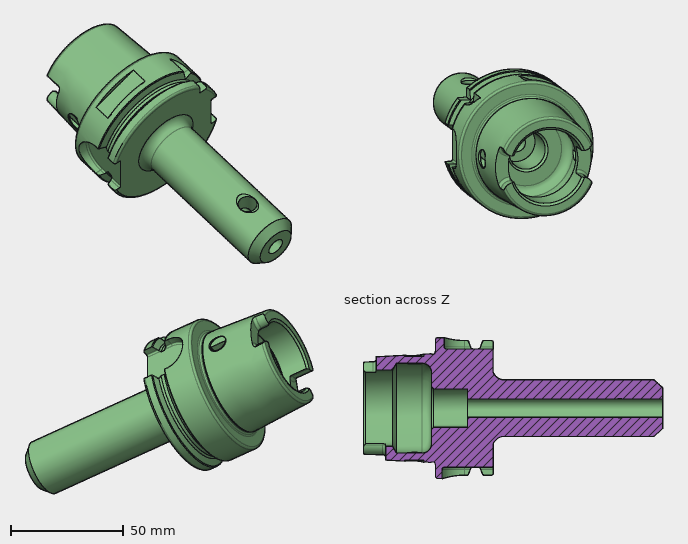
import cadquery as cq
import math

TOTAL_LENGTH = 133.6
FLANGE_RADIUS = 31.5
SHANK_RADIUS = 12.7
CUT_CLEARANCE = 1.3

TAPER_END_RADIUS = 22.7
TAPER_BASE_RADIUS = 24.3
TAPER_LENGTH = 30.0
TAPER_EDGE_FILLET = 1.1
NECK_RADIUS = 48.2 / 2
NECK_START = 30.6
NECK_FILLET = 0.7
FACE_RELIEF_DEPTH = 0.3
FACE_RELIEF_RADIUS = 25.7

FLANGE_START = 32.0
FLANGE_END = 58.0
FLANGE_EDGE_FILLET = 1.1
GROOVE_CENTER = 50.0
GROOVE_HALF_WIDTH = 3.5
GROOVE_EDGE_CHAMFER = 0.4
GROOVE_FLANK_HALF_WIDTH = 1.9
GROOVE_FLANK_RADIUS = 28.0
GROOVE_FLOOR_HALF_WIDTH = 0.8
GROOVE_FLOOR_RADIUS = 27.5

SHANK_BLEND_RADIUS = 5.2
SHANK_BLEND_END = 62.8
SHANK_CHAMFER_LENGTH = 4.0
SHANK_TIP_RADIUS = 9.1
CROSS_HOLE_X = 114.2
CROSS_HOLE_RADIUS = 8.4 / 2
CROSS_SINK_RADIUS = 5.7
CROSS_SINK_DEPTH = 0.8

BORE_RADIUS = 17.0
BORE_MOUTH_RADIUS = 18.0
BORE_MOUTH_DEPTH = 1.0
BORE_DEPTH = 30.3
RECESS_START = 13.0
RECESS_RAMP = 1.7
RECESS_RADIUS = 40.0 / 2
BORE_FLOOR_FILLET = 4.1
POCKET_RADIUS = 17.0 / 2
POCKET_MOUTH_RADIUS = 9.5
POCKET_DEPTH = 16.0
COOLANT_RADIUS = 4.0

KEYWAY_HALF_WIDTH = 6.1
KEYWAY_DEPTH_FRONT = 9.9
KEYWAY_DEPTH_BACK = 5.6
KEYWAY_FLARE_START = 16.4
KEYWAY_FLARE_RADIUS = 4.4
KEYWAY_FLARE_TURN = 80.0
KEYWAY_FLOOR_FILLET = 1.3

ACCESS_HOLE_X = 22.7
ACCESS_HOLE_RADIUS = 3.7
ACCESS_SINK_RADIUS = 8.4 / 2
ACCESS_SINK_OFFSET = 23.2

SLOT_FLOOR_OFFSET = 26.5
SLOT_CENTER_X = 45.0
SLOT_HALF_WIDTH_FRONT = 9.9
SLOT_HALF_WIDTH_BACK = 9.0
SLOT_FLOOR_FILLET = 0.8
NOTCH_OFFSET = 19.9
NOTCH_END_X = 44.8
NOTCH_END_RADIUS = 8.0
FLAT_START = 35.7
FLAT_LENGTH = 8.0
FLAT_OFFSET = 29.3
FLAT_TILT = 21.9


def revolve_about_axis(profile):
    """Close an XY profile and turn it about the tool axis."""
    return profile.close().revolve(360, (0, 0, 0), (1, 0, 0))


def build_body():
    """Taper, flange and shank as one solid of revolution."""
    relief_start = FLANGE_START - FACE_RELIEF_DEPTH
    blend_center_radius = SHANK_RADIUS + SHANK_BLEND_RADIUS
    blend_length = SHANK_BLEND_END - FLANGE_END
    blend_start_radius = blend_center_radius - math.sqrt(SHANK_BLEND_RADIUS**2 - blend_length**2)
    half_angle = math.asin(blend_length / SHANK_BLEND_RADIUS) / 2
    blend_middle = (
        SHANK_BLEND_END - SHANK_BLEND_RADIUS * math.sin(half_angle),
        blend_center_radius - SHANK_BLEND_RADIUS * math.cos(half_angle),
    )
    profile = (
        cq.Workplane("XY")
        .lineTo(0, TAPER_END_RADIUS - TAPER_EDGE_FILLET)
        .tangentArcPoint((TAPER_EDGE_FILLET, TAPER_END_RADIUS), relative=False)
        .lineTo(TAPER_LENGTH, TAPER_BASE_RADIUS)
        .lineTo(NECK_START, NECK_RADIUS)
        .lineTo(relief_start - NECK_FILLET, NECK_RADIUS)
        .tangentArcPoint((relief_start, NECK_RADIUS + NECK_FILLET), relative=False)
        .lineTo(FLANGE_START, FACE_RELIEF_RADIUS)
        .lineTo(FLANGE_START, FLANGE_RADIUS - FLANGE_EDGE_FILLET)
        .tangentArcPoint((FLANGE_START + FLANGE_EDGE_FILLET, FLANGE_RADIUS), relative=False)
        .lineTo(FLANGE_END - FLANGE_EDGE_FILLET, FLANGE_RADIUS)
        .tangentArcPoint((FLANGE_END, FLANGE_RADIUS - FLANGE_EDGE_FILLET), relative=False)
        .lineTo(FLANGE_END, blend_start_radius)
        .threePointArc(blend_middle, (SHANK_BLEND_END, SHANK_RADIUS))
        .lineTo(TOTAL_LENGTH - SHANK_CHAMFER_LENGTH, SHANK_RADIUS)
        .lineTo(TOTAL_LENGTH, SHANK_TIP_RADIUS)
        .lineTo(TOTAL_LENGTH, 0)
    )
    return revolve_about_axis(profile)


def build_groove():
    """Ring removed for the V-shaped gripper groove."""
    flank_top = GROOVE_HALF_WIDTH - GROOVE_EDGE_CHAMFER
    flank_top_radius = FLANGE_RADIUS - GROOVE_EDGE_CHAMFER
    outside = FLANGE_RADIUS + CUT_CLEARANCE
    profile = (
        cq.Workplane("XY")
        .moveTo(GROOVE_CENTER - GROOVE_HALF_WIDTH, outside)
        .lineTo(GROOVE_CENTER - GROOVE_HALF_WIDTH, FLANGE_RADIUS)
        .lineTo(GROOVE_CENTER - flank_top, flank_top_radius)
        .lineTo(GROOVE_CENTER - GROOVE_FLANK_HALF_WIDTH, GROOVE_FLANK_RADIUS)
        .lineTo(GROOVE_CENTER - GROOVE_FLOOR_HALF_WIDTH, GROOVE_FLOOR_RADIUS)
        .lineTo(GROOVE_CENTER + GROOVE_FLOOR_HALF_WIDTH, GROOVE_FLOOR_RADIUS)
        .lineTo(GROOVE_CENTER + GROOVE_FLANK_HALF_WIDTH, GROOVE_FLANK_RADIUS)
        .lineTo(GROOVE_CENTER + flank_top, flank_top_radius)
        .lineTo(GROOVE_CENTER + GROOVE_HALF_WIDTH, FLANGE_RADIUS)
        .lineTo(GROOVE_CENTER + GROOVE_HALF_WIDTH, outside)
    )
    return revolve_about_axis(profile)


def build_bore():
    """Main bore with its clamping recess, coolant pocket behind it and the coolant channel to the tip."""
    pocket_chamfer = POCKET_MOUTH_RADIUS - POCKET_RADIUS
    profile = (
        cq.Workplane("XY")
        .lineTo(0, BORE_MOUTH_RADIUS)
        .lineTo(BORE_MOUTH_DEPTH, BORE_RADIUS)
        .lineTo(RECESS_START, BORE_RADIUS)
        .lineTo(RECESS_START + RECESS_RAMP, RECESS_RADIUS)
        .lineTo(BORE_DEPTH - BORE_FLOOR_FILLET, RECESS_RADIUS)
        .tangentArcPoint((BORE_DEPTH, RECESS_RADIUS - BORE_FLOOR_FILLET), relative=False)
        .lineTo(BORE_DEPTH, POCKET_MOUTH_RADIUS)
        .lineTo(BORE_DEPTH + pocket_chamfer, POCKET_RADIUS)
        .lineTo(BORE_DEPTH + POCKET_DEPTH, POCKET_RADIUS)
        .lineTo(BORE_DEPTH + POCKET_DEPTH, COOLANT_RADIUS)
        .lineTo(TOTAL_LENGTH, COOLANT_RADIUS)
        .lineTo(TOTAL_LENGTH, 0)
    )
    return revolve_about_axis(profile)


def build_keyway(depth):
    """Keyway on the -Y side whose walls curve away into flared outer corners."""
    turn = math.radians(KEYWAY_FLARE_TURN)
    radius = KEYWAY_FLARE_RADIUS
    center_z = KEYWAY_HALF_WIDTH + radius
    middle_y = KEYWAY_FLARE_START + radius * math.sin(turn / 2)
    middle_z = center_z - radius * math.cos(turn / 2)
    end_y = KEYWAY_FLARE_START + radius * math.sin(turn)
    end_z = center_z - radius * math.cos(turn)
    outer_y = TAPER_BASE_RADIUS + CUT_CLEARANCE
    outer_z = end_z + (outer_y - end_y) * math.tan(turn)
    return (
        cq.Workplane("YZ")
        .moveTo(0, -KEYWAY_HALF_WIDTH)
        .lineTo(-KEYWAY_FLARE_START, -KEYWAY_HALF_WIDTH)
        .threePointArc((-middle_y, -middle_z), (-end_y, -end_z))
        .lineTo(-outer_y, -outer_z)
        .lineTo(-outer_y, outer_z)
        .lineTo(-end_y, end_z)
        .threePointArc((-middle_y, middle_z), (-KEYWAY_FLARE_START, KEYWAY_HALF_WIDTH))
        .lineTo(0, KEYWAY_HALF_WIDTH)
        .close()
        .extrude(depth)
        .faces(">X")
        .edges()
        .fillet(KEYWAY_FLOOR_FILLET)
    )


def build_access_hole(side):
    """Shallow flat-bottomed spot face with the lower half of a round hole opening through it."""
    reach = TAPER_BASE_RADIUS + CUT_CLEARANCE
    sink = (
        cq.Workplane("XZ", origin=(ACCESS_HOLE_X, side * ACCESS_SINK_OFFSET, 0))
        .circle(ACCESS_SINK_RADIUS)
        .extrude(-side * (reach - ACCESS_SINK_OFFSET))
    )
    half_hole = (
        cq.Workplane("XZ", origin=(ACCESS_HOLE_X, 0, 0))
        .moveTo(-ACCESS_HOLE_RADIUS, 0)
        .threePointArc((0, -ACCESS_HOLE_RADIUS), (ACCESS_HOLE_RADIUS, 0))
        .close()
        .extrude(-side * reach)
    )
    return sink.union(half_hole)


def build_drive_slot(half_width, side):
    """Round-ended slot, open toward the shank, with a flat floor parallel to XZ (side is the sign of Y)."""
    width = 2 * half_width
    center_distance = FLANGE_END - SLOT_CENTER_X + width
    floor = "<Y" if side > 0 else ">Y"
    return (
        cq.Workplane("XZ")
        .center(SLOT_CENTER_X + center_distance / 2, 0)
        .slot2D(center_distance + width, width)
        .extrude(-side * FLANGE_RADIUS)
        .faces(floor)
        .edges()
        .fillet(SLOT_FLOOR_FILLET)
        .translate((0, side * SLOT_FLOOR_OFFSET, 0))
    )


def build_index_notch():
    """Right-angled notch at 45 degrees whose floor curves up at its closed end."""
    center_distance = FLANGE_END - NOTCH_END_X + NOTCH_END_RADIUS
    height = 2 * NOTCH_END_RADIUS
    return (
        cq.Workplane("XZ")
        .center(NOTCH_END_X + center_distance / 2, NOTCH_OFFSET + NOTCH_END_RADIUS)
        .slot2D(center_distance + height, height)
        .extrude(-FLANGE_RADIUS)
        .translate((0, NOTCH_OFFSET, 0))
    )


def build_flat():
    """Block above the flat that is milled into the flange."""
    return (
        cq.Workplane("XY")
        .box(FLAT_LENGTH, 2 * FLANGE_RADIUS, FLANGE_RADIUS, centered=(False, True, False))
        .translate((FLAT_START, 0, FLAT_OFFSET))
        .rotate((0, 0, 0), (1, 0, 0), FLAT_TILT)
    )


def build_cross_hole():
    """Countersunk hole from the top of the shank down to the coolant channel."""
    slope = (CROSS_SINK_RADIUS - CROSS_HOLE_RADIUS) / CROSS_SINK_DEPTH
    cutter_top = SHANK_RADIUS + CUT_CLEARANCE
    return (
        cq.Workplane("XZ")
        .lineTo(CROSS_HOLE_RADIUS, 0)
        .lineTo(CROSS_HOLE_RADIUS, SHANK_RADIUS - CROSS_SINK_DEPTH)
        .lineTo(CROSS_SINK_RADIUS + slope * CUT_CLEARANCE, cutter_top)
        .lineTo(0, cutter_top)
        .close()
        .revolve(360, (0, 0, 0), (0, 1, 0))
        .translate((CROSS_HOLE_X, 0, 0))
    )


result = build_body().cut(build_groove()).cut(build_bore())

result = result.cut(build_keyway(KEYWAY_DEPTH_FRONT))
result = result.cut(build_keyway(KEYWAY_DEPTH_BACK).mirror("XZ"))
for side in (-1, 1):
    result = result.cut(build_access_hole(side))

result = result.cut(build_drive_slot(SLOT_HALF_WIDTH_FRONT, -1))
result = result.cut(build_drive_slot(SLOT_HALF_WIDTH_BACK, 1))
result = result.cut(build_index_notch())
result = result.cut(build_flat())
result = result.cut(build_cross_hole())